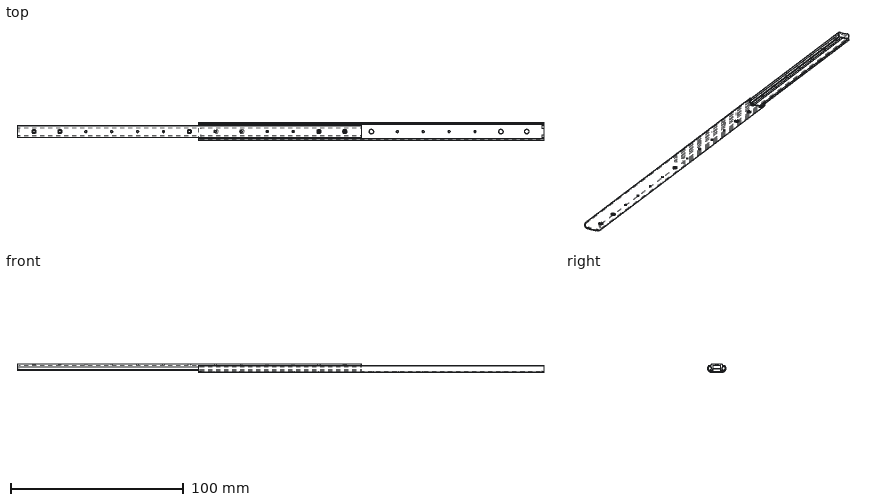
import cadquery as cq
import math

total_length = 305.0
total_height = 5.0
outer_length = 200.0
inner_length = 199.2
outer_start = total_length - outer_length

outer_width = 10.59
outer_height = 4.1
outer_wall = 0.55
outer_side_radius = 2.3
outer_groove_depth = 0.1

inner_half = 3.5
inner_web_half = 2.45
inner_web = 0.9
inner_foot_z = 1.0
inner_foot_half = 2.2
inner_groove_depth = 0.35

groove_top_z = 3.1
groove_bottom_z = 1.6
groove_middle_z = (groove_top_z + groove_bottom_z) / 2

tab_bottom_z = 2.0
tab_thickness = inner_web
tab_bend_radius = 0.8

crimp_length = 1.3
crimp_half_width = 0.9
crimp_center_y = 2.75
crimp_height = 0.25

hole_pitch = 15.0
hole_count = 13
mounting_holes = (0, 1, 6, 11, 12)
pilot_holes = [i for i in range(hole_count) if i not in mounting_holes]
mounting_diameter = 2.5
inner_through_diameter = 1.5
sink_depth = (mounting_diameter - inner_through_diameter) / 2
pilot_diameter = 1.1


def hole_points(middle_x, holes):
    first_x = middle_x - (hole_count - 1) / 2 * hole_pitch
    return [(first_x + i * hole_pitch, 0) for i in holes]


def drill(rail, middle_x, holes, diameter):
    points = hole_points(middle_x, holes)
    drills = cq.Workplane("XY").pushPoints(points).circle(diameter / 2).extrude(total_height)
    return rail.cut(drills)


def outer_section():
    """Half section from the middle of the floor to the lip, mirrored about Y = 0."""
    center_y = outer_width / 2 - outer_side_radius
    center_z = outer_side_radius
    inside_radius = outer_side_radius - outer_wall

    def on_side(radius, angle):
        return (center_y + radius * math.cos(angle), center_z + radius * math.sin(angle))

    lip_angle = math.asin((outer_height - center_z) / outer_side_radius)
    groove_top_angle = math.asin((groove_top_z - center_z) / inside_radius)
    groove_bottom_angle = math.asin((groove_bottom_z - center_z) / inside_radius)
    floor_angle = -math.pi / 2
    upper_middle_angle = (lip_angle + groove_top_angle) / 2
    lower_middle_angle = (groove_bottom_angle + floor_angle) / 2
    groove_middle = (center_y + inside_radius + outer_groove_depth, groove_middle_z)
    return (
        cq.Workplane("YZ")
        .lineTo(center_y, 0)
        .threePointArc(on_side(outer_side_radius, 0), on_side(outer_side_radius, lip_angle))
        .lineTo(*on_side(inside_radius, lip_angle))
        .threePointArc(on_side(inside_radius, upper_middle_angle), on_side(inside_radius, groove_top_angle))
        .threePointArc(groove_middle, on_side(inside_radius, groove_bottom_angle))
        .threePointArc(on_side(inside_radius, lower_middle_angle), (center_y, outer_wall))
        .lineTo(0, outer_wall)
        .mirrorY()
    )


def crimp_ridge(start_x, center_y, base_z):
    return (
        cq.Workplane("YZ", origin=(start_x, center_y, base_z))
        .moveTo(-crimp_half_width, 0)
        .threePointArc((0, crimp_height), (crimp_half_width, 0))
        .close()
        .extrude(crimp_length)
    )


def make_outer_rail():
    middle_x = outer_start + outer_length / 2
    rail = outer_section().extrude(outer_length).translate((outer_start, 0, 0))
    rail = drill(rail, middle_x, mounting_holes, mounting_diameter)
    rail = drill(rail, middle_x, pilot_holes, pilot_diameter)
    for start_x in (outer_start, total_length - crimp_length):
        for center_y in (-crimp_center_y, crimp_center_y):
            rail = rail.union(crimp_ridge(start_x, center_y, outer_wall))
            rail = rail.cut(crimp_ridge(start_x, center_y, 0))
    return rail


def inner_section():
    """Half section from the middle of the web to the foot, mirrored about Y = 0."""
    shoulder_radius = inner_half - inner_web_half
    shoulder_z = total_height - shoulder_radius
    shoulder_offset = shoulder_radius * math.sqrt(0.5)
    shoulder_middle = (inner_web_half + shoulder_offset, shoulder_z + shoulder_offset)
    return (
        cq.Workplane("YZ")
        .moveTo(0, total_height)
        .lineTo(inner_web_half, total_height)
        .threePointArc(shoulder_middle, (inner_half, shoulder_z))
        .lineTo(inner_half, groove_top_z)
        .threePointArc((inner_half - inner_groove_depth, groove_middle_z), (inner_half, groove_bottom_z))
        .lineTo(inner_half, inner_foot_z)
        .lineTo(inner_foot_half, inner_foot_z)
        .lineTo(inner_foot_half, total_height - inner_web)
        .lineTo(0, total_height - inner_web)
        .mirrorY()
    )


def add_end_tab(rail):
    """Close the -X end below the web and round the bend at the top."""
    tab_width = 2 * inner_foot_half
    tab_height = total_height - tab_bottom_z
    tab = (
        cq.Workplane("XY", origin=(0, 0, tab_bottom_z))
        .box(tab_thickness, tab_width, tab_height, centered=(False, True, False))
    )
    bend_corner = (
        cq.Workplane("XZ", origin=(0, tab_width / 2, 0))
        .moveTo(0, total_height)
        .lineTo(tab_bend_radius, total_height)
        .radiusArc((0, total_height - tab_bend_radius), -tab_bend_radius)
        .close()
        .extrude(tab_width)
    )
    return rail.union(tab).cut(bend_corner)


def countersink(x, y):
    return (
        cq.Workplane("XY", origin=(x, y, total_height))
        .circle(mounting_diameter / 2)
        .workplane(offset=-sink_depth)
        .circle(inner_through_diameter / 2)
        .loft()
    )


def make_inner_rail():
    middle_x = inner_length / 2
    rail = add_end_tab(inner_section().extrude(inner_length))
    rail = drill(rail, middle_x, mounting_holes, inner_through_diameter)
    rail = drill(rail, middle_x, pilot_holes, pilot_diameter)
    for x, y in hole_points(middle_x, mounting_holes):
        rail = rail.cut(countersink(x, y))
    return rail


outer_rail = make_outer_rail()
inner_rail = make_inner_rail()
result = cq.Compound.makeCompound([outer_rail.solids().val(), inner_rail.solids().val()])